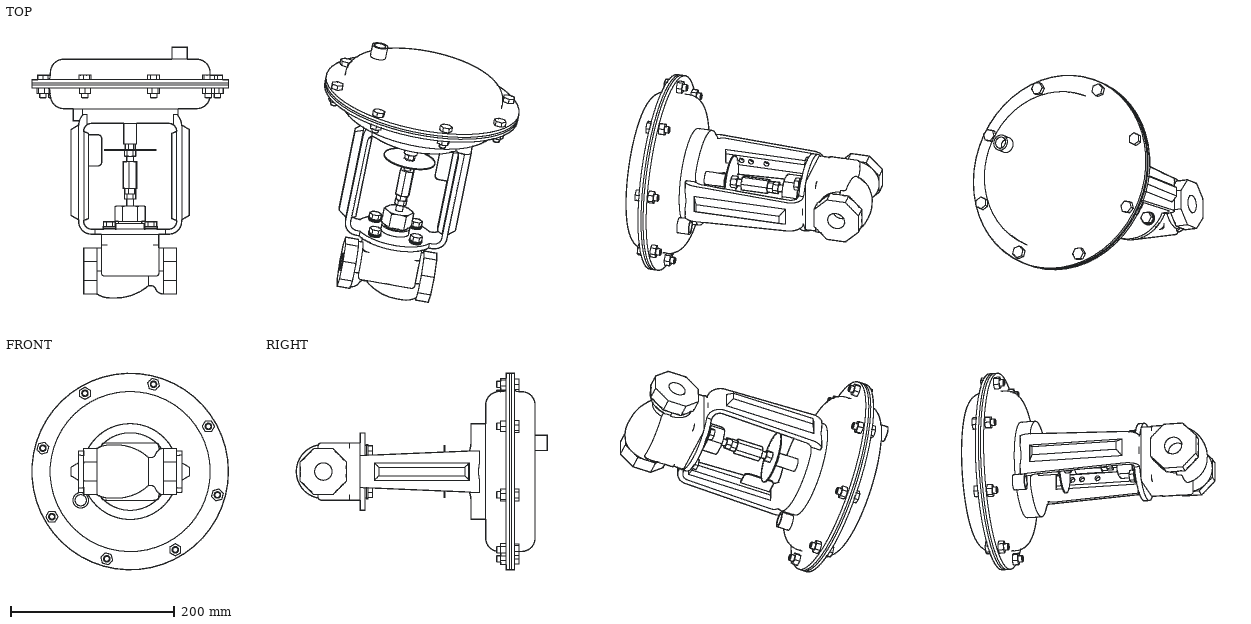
import cadquery as cq
import math


flange_radius = 120.65
casing_radius = 98.2
casing_corner_radius = 16.8
flare_radius = 3.75
diaphragm_center_y = 229.4
diaphragm_half_thickness = 1.3
flange_face_offset = 5.2
casing_face_offset = 30.5
upper_casing_face_y = diaphragm_center_y + casing_face_offset
lower_casing_face_y = diaphragm_center_y - casing_face_offset

casing_bolt_count = 8
casing_bolt_circle_radius = 110.8
casing_bolt_start_angle = 30
casing_hex_radius = 7.5
casing_bolt_radius = 4.0
casing_bolt_tip_chamfer = 0.9
casing_head_height = 5.6
casing_nut_height = 6.6
casing_bolt_tip_length = 5.5
head_twist = -15
nut_twist = -30

port_radius = 9.5
port_bore_radius = 6.9
port_x = 60.6
port_z = 35.2
port_tip_y = 274.65
port_length = port_tip_y - upper_casing_face_y

boss_radius = 58.8
boss_bottom_y = 180.9
leg_outer_x = 63.3
leg_inner_x = 56.9
leg_thickness = leg_outer_x - leg_inner_x
leg_bend_radius = 9.5
leg_bend_outer_radius = leg_bend_radius + leg_thickness
leg_top_y = 191.8
leg_top_x = 57.5
leg_shoulder_y = 178.0
leg_half_width_top = 25.4
leg_half_width_bottom = 19.7
base_bottom_y = 45.0
base_top_y = base_bottom_y + leg_thickness
base_radius = 47.6
base_hole_radius = 17.4

ridge_length = 116.4
ridge_center_y = 120.85
ridge_width = 21.4
ridge_height = 9.4
ridge_draft_inset = 5.5
rib_length = 109.3
rib_center_y = 116.5
rib_width = 17.6
rib_height = 6.0
rib_draft_inset = 2.3
rib_crown_x = leg_inner_x - rib_height

mount_hole_ys = (149.2, 137.3, 117.7)
mount_hole_radius = 3.0

scale_plate_edge_x = -34.8
scale_plate_top_y = 167.2
scale_plate_bottom_y = 128.6
scale_plate_thickness = 2.0
scale_plate_corner_radius = 5.0

base_bolt_offset = 25.5
base_hex_radius = 7.4
base_head_height = 6.0
lock_washer_radius = 7.9
lock_washer_thickness = 1.6
base_washer_radius = 7.0
base_washer_thickness = 1.5

stem_radius = 4.25
guide_radius = 8.0
guide_bottom_y = 155.7
indicator_radius = 31.75
indicator_top_y = 149.2
indicator_thickness = 1.2
indicator_bottom_y = indicator_top_y - indicator_thickness
upper_hex_radius = 6.4
upper_hex_angle = 50
stem_nut_radius = 7.15
stem_nut_chamfer = 0.8
indicator_nut_bottom_y = 140.6
coupling_radius = 9.2
coupling_angle = 40
coupling_top_y = 134.1
coupling_bottom_y = 101.3
jam_nut_angle = 45
jam_nut_bottom_y = 94.6
lock_nut_bottom_y = 88.0

bonnet_half_width = 35.2
bonnet_upper_corner_radius = 6.5
bonnet_lower_corner_radius = 3.8
bonnet_bottom_edge_radius = 3.7
bonnet_step_y = 31.9
bonnet_bottom_y = -6.3
bonnet_ring_top_y = 58.4
packing_neck_radius = 14.4
packing_nut_bottom_y = 60.8
packing_nut_top_y = 79.8
packing_nut_radius = 18.6
packing_nut_chamfer = 1.8
pipe_end_x = 56.95
pipe_end_length = 16.1
pipe_end_inner_x = pipe_end_x - pipe_end_length
pipe_end_sides = 8
pipe_end_flats = 56.7
shoulder_radius = pipe_end_flats / 2
pipe_bore_radius = 10.7
pipe_bore_depth = 24.0
globe_radius = 33.3
globe_flat_start_x = -24.8
globe_flat_end_x = -17.3
bulge_mid = (-32.8, 32.1)
neck_radius = 18.3
neck_start_x = 22.3
neck_end_x = 26.1
flare_turn = (30.8, 21.5)


def at_y(y, x=0, z=0):
    """Workplane facing +Y at height y, its local X along X and its local Y along -Z."""
    return cq.Workplane("XZ", origin=(x, y, z)).transformed(rotate=(180, 0, 0))


def disc(radius, bottom_y, top_y, x=0, z=0):
    return at_y(bottom_y, x, z).circle(radius).extrude(top_y - bottom_y)


def hexagon(corner_radius, bottom_y, top_y, x=0, z=0, angle=0):
    """Hexagonal prism along Y; `angle` turns one corner from +X towards +Z."""
    prism = at_y(bottom_y, x, z).polygon(6, 2 * corner_radius).extrude(top_y - bottom_y)
    return prism.rotate((x, 0, z), (x, 1, z), -angle)


def chamfered_hexagon(corner_radius, bottom_y, top_y, chamfer, end, x=0, z=0, angle=0):
    """Hexagonal prism whose corners are turned down at the `end` selector, '>Y' or '<Y'."""
    blank = disc(corner_radius, bottom_y, top_y, x, z).faces(end).chamfer(chamfer / 2, chamfer)
    return hexagon(corner_radius, bottom_y, top_y, x, z, angle).intersect(blank)


def mirrored_pair(shape):
    return shape.union(shape.mirror("YZ"))


def casing_bolt_places():
    """X, Z and angle of each bolt around the flange."""
    places = []
    for index in range(casing_bolt_count):
        angle = casing_bolt_start_angle + index * 360 / casing_bolt_count
        x = casing_bolt_circle_radius * math.cos(math.radians(angle))
        z = casing_bolt_circle_radius * math.sin(math.radians(angle))
        places.append((x, z, angle))
    return places


def casing_shell(direction):
    """Domed casing on the side of the diaphragm given by `direction`, +1 or -1 along Y."""
    def y_at(offset):
        return diaphragm_center_y + direction * offset

    corner_mid = casing_corner_radius * (1 - math.sqrt(0.5))
    flare_mid = flare_radius * (1 - math.sqrt(0.5))
    return (
        cq.Workplane("XY")
        .moveTo(0, y_at(diaphragm_half_thickness))
        .lineTo(flange_radius, y_at(diaphragm_half_thickness))
        .lineTo(flange_radius, y_at(flange_face_offset))
        .lineTo(casing_radius + flare_radius, y_at(flange_face_offset))
        .threePointArc(
            (casing_radius + flare_mid, y_at(flange_face_offset + flare_mid)),
            (casing_radius, y_at(flange_face_offset + flare_radius)),
        )
        .lineTo(casing_radius, y_at(casing_face_offset - casing_corner_radius))
        .threePointArc(
            (casing_radius - corner_mid, y_at(casing_face_offset - corner_mid)),
            (casing_radius - casing_corner_radius, y_at(casing_face_offset)),
        )
        .lineTo(0, y_at(casing_face_offset))
        .close()
        .revolve(360, (0, 0, 0), (0, 1, 0))
    )


def make_upper_casing():
    """Upper casing with its air port and the bolt heads on its flange."""
    casing = casing_shell(1)
    casing = casing.union(disc(port_radius, upper_casing_face_y, port_tip_y, port_x, port_z))
    casing = casing.cut(disc(port_bore_radius, upper_casing_face_y, port_tip_y, port_x, port_z))
    head_bottom = diaphragm_center_y + flange_face_offset
    head_top = head_bottom + casing_head_height
    for x, z, angle in casing_bolt_places():
        casing = casing.union(hexagon(casing_hex_radius, head_bottom, head_top, x, z, angle + head_twist))
    return casing


def make_diaphragm():
    """Flat diaphragm clamped between the casings."""
    return disc(
        flange_radius,
        diaphragm_center_y - diaphragm_half_thickness,
        diaphragm_center_y + diaphragm_half_thickness,
    )


def make_lower_casing():
    """Lower casing with its air port and the nuts and bolt tips on its flange."""
    casing = casing_shell(-1)
    port_end_y = lower_casing_face_y - port_length
    casing = casing.union(disc(port_radius, port_end_y, lower_casing_face_y, -port_x, -port_z))
    casing = casing.cut(disc(port_bore_radius, port_end_y, lower_casing_face_y, -port_x, -port_z))
    nut_top = diaphragm_center_y - flange_face_offset
    nut_bottom = nut_top - casing_nut_height
    tip_bottom = nut_bottom - casing_bolt_tip_length
    for x, z, angle in casing_bolt_places():
        nut = hexagon(casing_hex_radius, nut_bottom, nut_top, x, z, angle + nut_twist)
        tip = disc(casing_bolt_radius, tip_bottom, nut_bottom, x, z)
        tip = tip.faces("<Y").chamfer(casing_bolt_tip_chamfer)
        casing = casing.union(nut).union(tip)
    return casing


def leg_strip():
    """Bent strip of the leg at +X, trimmed to the taper of its width."""
    bend_x = leg_inner_x - leg_bend_radius
    bend_y = base_top_y + leg_bend_radius
    diagonal = math.sqrt(0.5)
    strip = (
        cq.Workplane("XY")
        .moveTo(0, base_bottom_y)
        .lineTo(bend_x, base_bottom_y)
        .threePointArc(
            (bend_x + leg_bend_outer_radius * diagonal, bend_y - leg_bend_outer_radius * diagonal),
            (leg_outer_x, bend_y),
        )
        .lineTo(leg_outer_x, leg_shoulder_y)
        .tangentArcPoint((leg_top_x, leg_top_y), relative=False)
        .lineTo(bend_x, leg_top_y)
        .lineTo(bend_x, boss_bottom_y)
        .threePointArc(
            (bend_x + leg_bend_radius * diagonal, boss_bottom_y - leg_bend_radius * (1 - diagonal)),
            (leg_inner_x, boss_bottom_y - leg_bend_radius),
        )
        .lineTo(leg_inner_x, bend_y)
        .threePointArc(
            (bend_x + leg_bend_radius * diagonal, bend_y - leg_bend_radius * diagonal),
            (bend_x, base_top_y),
        )
        .lineTo(0, base_top_y)
        .close()
        .extrude(leg_half_width_top, both=True)
    )
    taper = (
        cq.Workplane("YZ")
        .moveTo(base_bottom_y, -leg_half_width_bottom)
        .lineTo(boss_bottom_y, -leg_half_width_top)
        .lineTo(leg_top_y, -leg_half_width_top)
        .lineTo(leg_top_y, leg_half_width_top)
        .lineTo(boss_bottom_y, leg_half_width_top)
        .lineTo(base_bottom_y, leg_half_width_bottom)
        .close()
        .extrude(leg_outer_x)
    )
    return strip.intersect(taper)


def boss_fillet():
    """Hollow blend under the boss edge at +X, running across the full boss chord."""
    bend_x = leg_inner_x - leg_bend_radius
    diagonal = math.sqrt(0.5)
    blend = (
        cq.Workplane("XY")
        .moveTo(bend_x, boss_bottom_y)
        .threePointArc(
            (bend_x + leg_bend_radius * diagonal, boss_bottom_y - leg_bend_radius * (1 - diagonal)),
            (leg_inner_x, boss_bottom_y - leg_bend_radius),
        )
        .lineTo(boss_radius, boss_bottom_y - leg_bend_radius)
        .lineTo(boss_radius, boss_bottom_y)
        .close()
        .extrude(boss_radius, both=True)
    )
    return blend.intersect(disc(boss_radius, boss_bottom_y - leg_bend_radius, boss_bottom_y))


def drafted_bar(start_x, end_x, center_y, length, width, inset):
    """Bar along Y growing from start_x to end_x, where every side has moved in by `inset`."""
    return (
        cq.Workplane("YZ", origin=(start_x, center_y, 0))
        .rect(length, width)
        .workplane(offset=end_x - start_x)
        .rect(length - 2 * inset, width - 2 * inset)
        .loft(ruled=True)
    )


def make_scale_plate():
    """Flag on the rib at -X that carries the travel scale."""
    width = scale_plate_edge_x + leg_inner_x
    return (
        cq.Workplane("XY")
        .center(scale_plate_edge_x - width / 2, (scale_plate_top_y + scale_plate_bottom_y) / 2)
        .rect(width, scale_plate_top_y - scale_plate_bottom_y)
        .extrude(scale_plate_thickness / 2, both=True)
        .edges("|Z and >X")
        .fillet(scale_plate_corner_radius)
    )


def base_bolt(x, z):
    """Bolt head and its two washers, standing on the yoke base."""
    washer_top = base_top_y + base_washer_thickness
    head_bottom = washer_top + lock_washer_thickness
    bolt = disc(base_washer_radius, base_top_y, washer_top, x, z)
    bolt = bolt.union(disc(lock_washer_radius, washer_top, head_bottom, x, z))
    return bolt.union(hexagon(base_hex_radius, head_bottom, head_bottom + base_head_height, x, z))


def make_yoke():
    """Boss, two ribbed legs and a round base, with the scale plate and base bolts."""
    ridge = drafted_bar(
        leg_outer_x, leg_outer_x + ridge_height, ridge_center_y, ridge_length, ridge_width, ridge_draft_inset
    )
    rib = drafted_bar(leg_inner_x, rib_crown_x, rib_center_y, rib_length, rib_width, rib_draft_inset)
    leg = leg_strip().union(boss_fillet()).union(ridge).union(rib)
    yoke = disc(boss_radius, boss_bottom_y, lower_casing_face_y)
    yoke = yoke.union(mirrored_pair(leg)).union(disc(base_radius, base_bottom_y, base_top_y))
    yoke = yoke.union(make_scale_plate())
    for x in (-base_bolt_offset, base_bolt_offset):
        for z in (-base_bolt_offset, base_bolt_offset):
            yoke = yoke.union(base_bolt(x, z))
    for y in mount_hole_ys:
        hole = cq.Workplane("YZ", origin=(rib_crown_x, y, 0)).circle(mount_hole_radius).extrude(rib_height)
        yoke = yoke.cut(hole)
    return yoke.cut(disc(base_hole_radius, base_bottom_y, base_top_y))


def make_stem():
    """Stem with its guide, travel indicator disc, coupling and nuts."""
    stem = disc(stem_radius, packing_nut_bottom_y, guide_bottom_y)
    stem = stem.union(disc(guide_radius, guide_bottom_y, boss_bottom_y))
    stem = stem.union(hexagon(upper_hex_radius, indicator_top_y, guide_bottom_y, angle=upper_hex_angle))
    stem = stem.union(disc(indicator_radius, indicator_bottom_y, indicator_top_y))
    stem = stem.union(
        chamfered_hexagon(stem_nut_radius, indicator_nut_bottom_y, indicator_bottom_y, stem_nut_chamfer, "<Y")
    )
    stem = stem.union(hexagon(coupling_radius, coupling_bottom_y, coupling_top_y, angle=coupling_angle))
    stem = stem.union(
        chamfered_hexagon(
            stem_nut_radius, jam_nut_bottom_y, coupling_bottom_y, stem_nut_chamfer, ">Y", angle=jam_nut_angle
        )
    )
    return stem.union(
        chamfered_hexagon(stem_nut_radius, lock_nut_bottom_y, jam_nut_bottom_y, stem_nut_chamfer, ">Y")
    )


def square_block(bottom_y, top_y, corner_radius):
    block = at_y(bottom_y).rect(2 * bonnet_half_width, 2 * bonnet_half_width).extrude(top_y - bottom_y)
    return block.edges("|Y").fillet(corner_radius)


def make_bonnet():
    """Square bonnet with the ring that passes through the yoke base and the packing nut."""
    lower = square_block(bonnet_bottom_y, bonnet_step_y, bonnet_lower_corner_radius)
    lower = lower.faces("<Y").edges().fillet(bonnet_bottom_edge_radius)
    upper = square_block(bonnet_step_y, base_bottom_y, bonnet_upper_corner_radius)
    bonnet = lower.union(upper)
    bonnet = bonnet.union(disc(base_hole_radius, base_bottom_y, bonnet_ring_top_y))
    bonnet = bonnet.union(disc(packing_neck_radius, bonnet_ring_top_y, packing_nut_bottom_y))
    return bonnet.union(
        chamfered_hexagon(
            packing_nut_radius, packing_nut_bottom_y, packing_nut_top_y, packing_nut_chamfer, ">Y"
        )
    )


def make_globe():
    """Bulged and necked lower half of the body, under a plain half cylinder."""
    profile = (
        cq.Workplane("XY")
        .moveTo(globe_flat_start_x, globe_radius)
        .lineTo(globe_flat_end_x, globe_radius)
        .tangentArcPoint((neck_start_x, neck_radius), relative=False)
        .lineTo(neck_end_x, neck_radius)
        .tangentArcPoint(flare_turn, relative=False)
        .tangentArcPoint((pipe_end_inner_x, shoulder_radius), relative=False)
        .lineTo(pipe_end_inner_x, 0)
        .lineTo(-pipe_end_inner_x, 0)
        .lineTo(-pipe_end_inner_x, shoulder_radius)
        .threePointArc(bulge_mid, (globe_flat_start_x, globe_radius))
        .close()
    )
    lower_half = profile.revolve(180, (0, 0, 0), (1, 0, 0)).rotate((0, 0, 0), (1, 0, 0), 90)
    upper_half = (
        cq.Workplane("YZ", origin=(-pipe_end_inner_x, 0, 0))
        .moveTo(0, -shoulder_radius)
        .threePointArc((shoulder_radius, 0), (0, shoulder_radius))
        .close()
        .extrude(2 * pipe_end_inner_x)
    )
    return lower_half.union(upper_half)


def pipe_end():
    """Octagonal pipe connection at +X."""
    corner_radius = pipe_end_flats / 2 / math.cos(math.pi / pipe_end_sides)
    end = cq.Workplane("YZ", origin=(pipe_end_inner_x, 0, 0)).polygon(pipe_end_sides, 2 * corner_radius)
    return end.extrude(pipe_end_length).rotate((0, 0, 0), (1, 0, 0), 360 / pipe_end_sides / 2)


def make_valve_body():
    """Globe body with its bonnet and two bored pipe ends."""
    body = make_globe().union(make_bonnet()).union(mirrored_pair(pipe_end()))
    bore = (
        cq.Workplane("YZ", origin=(pipe_end_x - pipe_bore_depth, 0, 0))
        .circle(pipe_bore_radius)
        .extrude(pipe_bore_depth)
    )
    stem_bore = disc(stem_radius, packing_nut_bottom_y, packing_nut_top_y)
    return body.cut(mirrored_pair(bore)).cut(stem_bore)


upper_casing = make_upper_casing()
diaphragm = make_diaphragm()
lower_casing = make_lower_casing()
yoke = make_yoke()
stem = make_stem()
valve_body = make_valve_body()

bodies = [upper_casing, diaphragm, lower_casing, yoke, stem, valve_body]
result = cq.Compound.makeCompound([body.solids().val() for body in bodies])